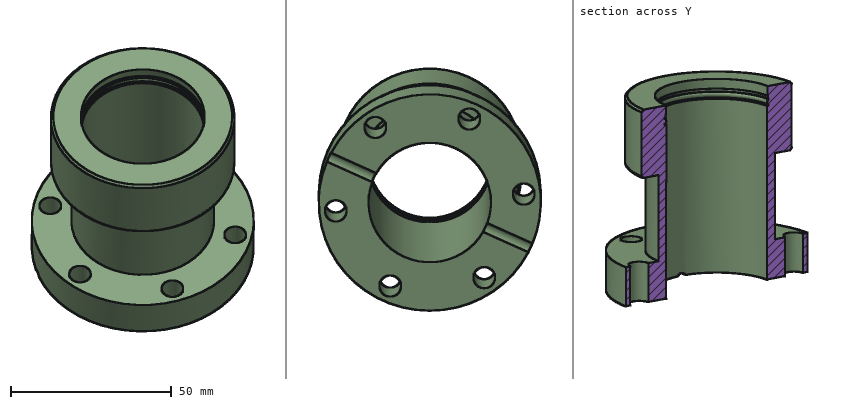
import cadquery as cq

total_height = 62.59
flange_thickness = 12.7
head_height = 22.225
head_chamfer = 0.76

flange_diameter = 69.09
tube_diameter = 44.45
head_diameter = 57.15

bore_diameter = 38.1
mouth_diameter = 38.48
lip_thickness = 3.175

relief_diameter = 38.6
relief_depth = 6.4

ring_section = 2.0
ring_depth = 5.2
gland_diameter = 39.3

bolt_hole_count = 6
bolt_hole_diameter = 6.73
bolt_circle_diameter = 58.72

groove_radius = 1.9
groove_depth = 0.8


def cylinder(diameter, base, top):
    """Solid cylinder on the Z axis between two heights."""
    return cq.Workplane("XY").workplane(offset=base).circle(diameter / 2).extrude(top - base)


def make_body():
    head_base = total_height - head_height
    flange = cylinder(flange_diameter, 0, flange_thickness)
    tube = cylinder(tube_diameter, 0, head_base)
    head = cylinder(head_diameter, head_base, total_height).edges().chamfer(head_chamfer)
    return flange.union(tube).union(head)


def make_bore():
    lip_base = total_height - lip_thickness
    bore = cylinder(bore_diameter, 0, total_height)
    mouth = cylinder(mouth_diameter, lip_base, total_height)
    relief = cylinder(relief_diameter, total_height - relief_depth, lip_base)
    gland_floor = total_height - ring_depth - ring_section / 2
    gland = cylinder(gland_diameter, gland_floor, gland_floor + ring_section)
    return bore.union(mouth).union(relief).union(gland)


def make_seal_ring():
    section_radius = ring_section / 2
    center_radius = bore_diameter / 2 + section_radius
    center_height = total_height - ring_depth
    profile = cq.Workplane("XZ").center(center_radius, center_height).circle(section_radius)
    return profile.revolve(360, (-center_radius, 0), (-center_radius, 1))


def make_bolt_holes():
    return (
        cq.Workplane("XY")
        .polarArray(bolt_circle_diameter / 2, 0, 360, bolt_hole_count)
        .circle(bolt_hole_diameter / 2)
        .extrude(flange_thickness)
    )


def make_leak_groove():
    return (
        cq.Workplane("XZ")
        .center(0, groove_depth - groove_radius)
        .circle(groove_radius)
        .extrude(flange_diameter / 2, both=True)
    )


result = (
    make_body()
    .cut(make_bore())
    .union(make_seal_ring())
    .cut(make_bolt_holes())
    .cut(make_leak_groove())
    .solids()
)